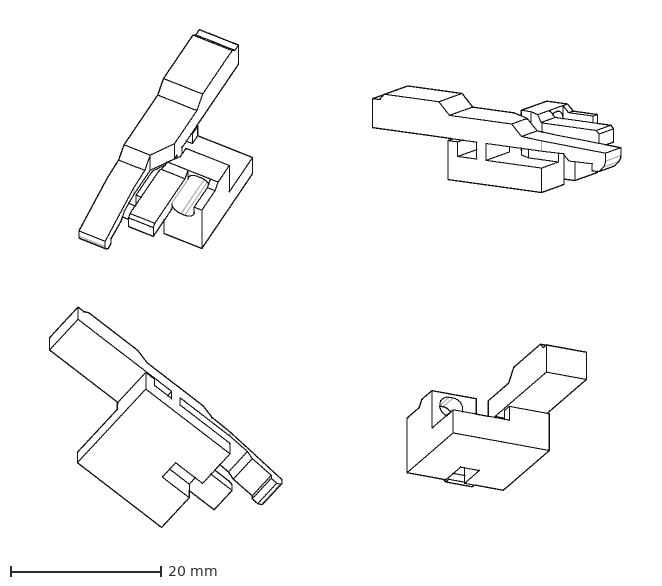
import cadquery as cq

width = 14.15
length = 36.15
height = 10.5
front_y = 9.6
back_y = 24.33
deck_z = 3.35
shelf_z = 5.68
step_z = 8.82

bar_width = 5.9
arm_width = 3.95
arm_shift = 0.65
taper_front_y = 14.3
taper_back_y = 17.57
arm_root_y = 12.75
arm_root_z = 7.3
tip_z = 6.45
tail_z = 9.65
tail_length = 1.05
tail_slope_length = 0.83
crest_front_y = 25.75
crest_slope_length = height - step_z

arm_bottom_z = 4.77
arm_bottom_back_y = 5.5
underside_slope_y = arm_bottom_back_y + (shelf_z - arm_bottom_z)
hook_bottom_z = 3.8
hook_back_y = 2.0
hook_bevel_y = 0.98
nose_top_z = 5.35
nose_mid = (0.07, 4.9)
nose_end = (0.33, 4.5)

column_front_y = 18.33
column_back_y = 19.8
post_front_y = 22.77
post_z = 5.35

shelf_left = 4.25
shelf_corner_x = 5.25
shelf_back_y = 16.0
block_left = 7.63
block_back_y = taper_back_y
ledge_z = 7.95
slope_back_y = taper_front_y
slope_front_y = slope_back_y - (step_z - ledge_z)

tongue_left = bar_width
tongue_right = 9.6
tongue_tip_y = 4.25
tongue_root_y = 13.2
tongue_chamfer = 0.45

bore_right = 12.98
bore_height = 2.8
bore_center_z = 6.9

notch_left = 5.68
notch_width = 2.75
notch_height = 4.37
notch_depth = taper_front_y - front_y


def box(x0, x1, y0, y1, z0, z1):
    """Box between two opposite corners."""
    return cq.Workplane("XY").box(x1 - x0, y1 - y0, z1 - z0, centered=False).translate((x0, y0, z0))


def plan_prism(points, z0, z1):
    """Outline in X and Y, raised from z0 to z1."""
    return cq.Workplane("XY").workplane(offset=z0).polyline(points).close().extrude(z1 - z0)


def make_bar():
    """Side profile of bar, arm and hook, trimmed to its plan outline."""
    profile = (
        cq.Workplane("YZ")
        .moveTo(length, shelf_z)
        .lineTo(length, tail_z)
        .lineTo(length - tail_length, tail_z)
        .lineTo(length - tail_length - tail_slope_length, height)
        .lineTo(crest_front_y, height)
        .lineTo(crest_front_y - crest_slope_length, step_z)
        .lineTo(taper_front_y, step_z)
        .lineTo(arm_root_y, arm_root_z)
        .lineTo(0, tip_z)
        .lineTo(0, nose_top_z)
        .threePointArc(nose_mid, nose_end)
        .lineTo(hook_bevel_y, hook_bottom_z)
        .lineTo(hook_back_y, hook_bottom_z)
        .lineTo(hook_back_y, arm_bottom_z)
        .lineTo(arm_bottom_back_y, arm_bottom_z)
        .lineTo(underside_slope_y, shelf_z)
        .close()
        .extrude(width)
    )
    outline = [
        (0, length),
        (bar_width, length),
        (bar_width, taper_back_y),
        (arm_width, taper_front_y),
        (arm_width, front_y),
        (arm_width + arm_shift, 0),
        (arm_shift, 0),
        (0, front_y),
    ]
    return profile.intersect(plan_prism(outline, 0, height))


def make_base():
    """Base plate with the column carrying the bar and the free post behind it."""
    plate = box(0, width, front_y, back_y, 0, deck_z)
    column = box(0, bar_width, column_front_y, column_back_y, 0, shelf_z)
    post = box(0, bar_width, post_front_y, back_y, 0, post_z)
    return plate.union(column).union(post)


def make_shelf():
    """Shelf under the raised block, with a corner cut parallel to the bar taper."""
    outline = [
        (shelf_left, front_y),
        (width, front_y),
        (width, block_back_y),
        (block_left, block_back_y),
        (block_left, shelf_back_y),
        (shelf_corner_x, shelf_back_y),
        (shelf_left, taper_front_y),
    ]
    return plan_prism(outline, 0, shelf_z)


def make_raised_block():
    """Raised block and projecting tongue, sloped down to the ledge height."""
    outline = [
        (width, block_back_y),
        (block_left, block_back_y),
        (block_left, shelf_back_y),
        (tongue_left, tongue_root_y),
        (tongue_left, tongue_tip_y),
        (tongue_right, tongue_tip_y),
        (tongue_right, front_y),
        (width, front_y),
    ]
    profile = [
        (block_back_y, shelf_z),
        (block_back_y, step_z),
        (slope_back_y, step_z),
        (slope_front_y, ledge_z),
        (tongue_tip_y + tongue_chamfer, ledge_z),
        (tongue_tip_y, ledge_z - tongue_chamfer),
        (tongue_tip_y, shelf_z),
    ]
    side = cq.Workplane("YZ").polyline(profile).close().extrude(width)
    return side.intersect(plan_prism(outline, shelf_z, step_z))


def make_bore():
    """Obround bore through the block, open at the top in front of the slope."""
    bore_width = bore_right - tongue_right
    bore = (
        cq.Workplane("XZ", origin=(tongue_right + bore_width / 2, block_back_y, bore_center_z))
        .slot2D(bore_width, bore_height)
        .extrude(block_back_y - front_y)
    )
    opening = box(tongue_right, bore_right, front_y, slope_back_y, bore_center_z, step_z)
    return bore.union(opening)


notch = box(notch_left, notch_left + notch_width, front_y, front_y + notch_depth, 0, notch_height)

result = make_base().union(make_shelf()).union(make_raised_block()).union(make_bar())
result = result.cut(make_bore()).cut(notch)